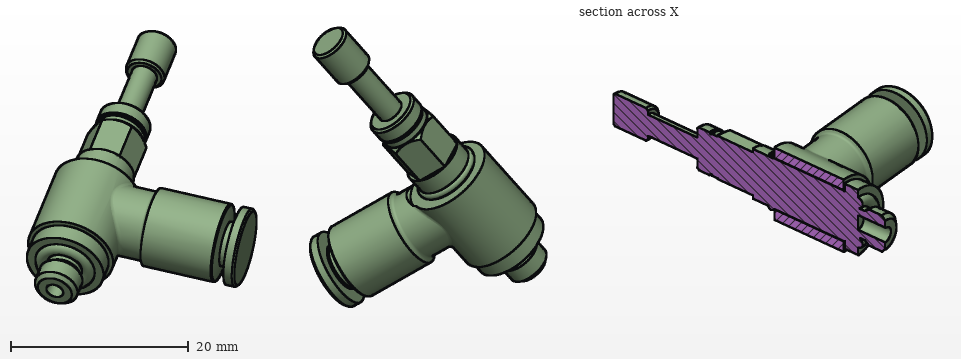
import cadquery as cq
import math


core_radius = 3.45

elbow_length = 23.6
barrel_diameter = 10.0
barrel_radius = barrel_diameter / 2
barrel_bottom = 6.0
barrel_height = 10.0
barrel_top = barrel_bottom + barrel_height
branch_y = 12.5
branch_fillet = 0.45
junction_relief = 0.5
clearance = 0.4

neck_radius = 4.0
neck_end = 7.1
shoulder_fillet = 0.4
shoulder_angle = math.radians(60)
sleeve_radius = 4.5
sleeve_end = 15.85
sleeve_chamfer = 0.1
sleeve_face_radius = 2.9
sleeve_face_end = 16.3

collet_radius = 2.6
collet_flare = 0.15
flange_start = 17.35
flange_end = elbow_length - barrel_radius
flange_chamfer = 0.25

thread_radius = 2.5
thread_chamfer = 0.5
thread_end = 2.4
undercut_radius = 2.05
undercut_start = 3.0
port_radius = 1.0
port_depth = 3.92
collar_radius = 4.5
collar_bottom = 3.92
collar_gap = 0.1
collar_top = barrel_bottom - collar_gap
o_ring_wire = 0.75
o_ring_radius = 2.75
o_ring_y = 4.0
snap_ring_wire = 0.47
snap_ring_radius = 3.38
snap_ring_gap = 0.4
snap_ring_y = barrel_top + snap_ring_wire

hex_bottom = 19.1
hex_top = 24.25
hex_across_flats = 6.0
hex_chamfer = 0.47
cap_neck_radius = 2.9
cap_radius = 3.0
cap_bottom = 25.25
cap_top = 27.15
cap_chamfer = 0.27
groove_width = 0.2
groove_depth = 0.1
rod_radius = 1.5
knob_radius = 2.28
knob_bottom = 34.23
knob_top = 39.25
knob_chamfer = 0.27


def turned_about_y(points):
    """Solid of revolution about Y from (radius, y) points."""
    return cq.Workplane("XY").polyline(points).close().revolve(360, (0, 0), (0, 1))


def rod_along_y(radius, start, end):
    """Cylinder on the valve axis between two Y levels."""
    return cq.Workplane("XZ", origin=(0, start, 0)).circle(radius).extrude(start - end)


def ring_about_y(ring_radius, wire_radius, y):
    """Round-section ring centred on the valve axis."""
    return cq.Workplane("XY").center(ring_radius, y).circle(wire_radius).revolve(
        360, (-ring_radius, 0), (-ring_radius, 1)
    )


def make_branch_neck():
    """Plain cylinder from the valve axis out to the shoulder."""
    return cq.Workplane("YZ").center(branch_y, 0).circle(neck_radius).extrude(neck_end)


def make_branch_end():
    """Shoulder, sleeve and release collet beyond the neck, turned about the branch axis."""
    fillet_end = neck_end + shoulder_fillet * math.sin(shoulder_angle)
    fillet_end_radius = neck_radius + shoulder_fillet * (1 - math.cos(shoulder_angle))
    fillet_mid = neck_end + shoulder_fillet * math.sin(shoulder_angle / 2)
    fillet_mid_radius = neck_radius + shoulder_fillet * (1 - math.cos(shoulder_angle / 2))
    sleeve_start = fillet_end + (sleeve_radius - fillet_end_radius) / math.tan(shoulder_angle)
    profile = (
        cq.Workplane("XY", origin=(0, branch_y, 0))
        .moveTo(neck_end, 0)
        .lineTo(neck_end, neck_radius)
        .threePointArc((fillet_mid, fillet_mid_radius), (fillet_end, fillet_end_radius))
        .lineTo(sleeve_start, sleeve_radius)
        .lineTo(sleeve_end, sleeve_radius)
        .lineTo(sleeve_end + sleeve_chamfer, sleeve_radius - sleeve_chamfer)
        .lineTo(sleeve_face_end, sleeve_face_radius)
        .lineTo(sleeve_face_end, collet_radius)
        .lineTo(flange_start - collet_flare, collet_radius)
        .lineTo(flange_start, collet_radius + collet_flare)
        .lineTo(flange_start, sleeve_radius)
        .lineTo(flange_end - flange_chamfer, sleeve_radius)
        .lineTo(flange_end, sleeve_radius - flange_chamfer)
        .lineTo(flange_end, 0)
        .close()
    )
    return profile.revolve(360, (0, 0), (1, 0))


def make_elbow():
    """Barrel and tube branch in one piece, bored through for the valve core."""
    tall_top = branch_y + 2 * neck_radius
    elbow = rod_along_y(barrel_radius, barrel_bottom, tall_top).union(make_branch_neck())
    junction = cq.selectors.BoxSelector(
        (clearance, branch_y - neck_radius - clearance, -barrel_radius),
        (neck_end - clearance, branch_y + neck_radius + clearance, barrel_radius),
    )
    elbow = elbow.edges(junction).fillet(branch_fillet)
    relief_radius = barrel_radius + branch_fillet / 2
    relief = turned_about_y([
        (0, barrel_top),
        (relief_radius, barrel_top),
        (relief_radius + junction_relief, barrel_top + 2 * junction_relief),
        (relief_radius + junction_relief, tall_top + clearance),
        (0, tall_top + clearance),
    ])
    elbow = elbow.cut(relief).union(make_branch_end())
    return elbow.cut(rod_along_y(core_radius, barrel_bottom, barrel_top))


def make_lower_core():
    """Threaded tip, undercut, collar and the shank that fills the bore."""
    return turned_about_y([
        (0, 0),
        (thread_radius - thread_chamfer, 0),
        (thread_radius, thread_chamfer),
        (thread_radius, thread_end),
        (undercut_radius, undercut_start),
        (undercut_radius, collar_bottom),
        (collar_radius, collar_bottom),
        (collar_radius, collar_top),
        (core_radius, collar_top),
        (core_radius, hex_bottom),
        (0, hex_bottom),
    ])


def make_snap_ring():
    """Wire ring above the barrel with one gap on the +Z side."""
    ring = ring_about_y(snap_ring_radius, snap_ring_wire, snap_ring_y)
    gap_size = 2 * (snap_ring_radius + snap_ring_wire)
    gap = cq.Workplane("XY", origin=(0, snap_ring_y, 0)).rect(snap_ring_gap, gap_size).extrude(gap_size)
    return ring.cut(gap)


def make_hexagon():
    """Wrench hexagon with flats facing +Z and -Z, and its upper corners turned to a cone."""
    corner_radius = hex_across_flats / math.sqrt(3)
    hexagon = (
        cq.Workplane("XZ", origin=(0, hex_bottom, 0))
        .polygon(6, 2 * corner_radius)
        .extrude(hex_bottom - hex_top)
    )
    envelope = turned_about_y([
        (0, hex_bottom),
        (corner_radius, hex_bottom),
        (corner_radius, hex_top - hex_chamfer),
        (corner_radius - hex_chamfer, hex_top),
        (0, hex_top),
    ])
    return hexagon.intersect(envelope)


def make_cap():
    """Cap on a short neck, with a shallow groove below it."""
    groove_bottom = cap_bottom - groove_width
    return turned_about_y([
        (0, hex_top),
        (cap_neck_radius, hex_top),
        (cap_neck_radius, groove_bottom),
        (cap_neck_radius - groove_depth, groove_bottom),
        (cap_neck_radius - groove_depth, cap_bottom),
        (cap_radius - groove_depth, cap_bottom),
        (cap_radius, cap_bottom + groove_depth),
        (cap_radius, cap_top - cap_chamfer),
        (cap_radius - cap_chamfer, cap_top),
        (0, cap_top),
    ])


def make_knob():
    """Knob chamfered at both ends, on its rod."""
    knob = rod_along_y(knob_radius, knob_bottom, knob_top).edges().chamfer(knob_chamfer)
    return knob.union(rod_along_y(rod_radius, cap_top, knob_bottom))


def make_valve():
    """Everything on the valve axis in one piece, with a blind port in the threaded tip."""
    valve = make_lower_core()
    valve = valve.union(ring_about_y(o_ring_radius, o_ring_wire, o_ring_y))
    for section in (make_snap_ring(), make_hexagon(), make_cap(), make_knob()):
        valve = valve.union(section)
    return valve.cut(rod_along_y(port_radius, 0, port_depth))


elbow = make_elbow()
valve = make_valve()
result = cq.Compound.makeCompound([elbow.solids().val(), valve.solids().val()])